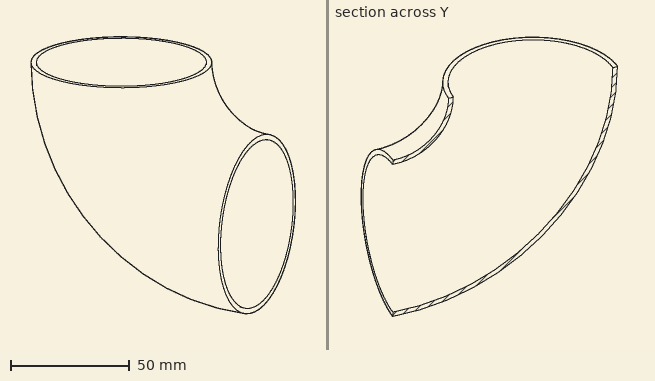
import cadquery as cq

outer_diameter = 76.1
wall_thickness = 2.3
bend_radius = 63.0
bend_angle = 90.0

inner_diameter = outer_diameter - 2 * wall_thickness


def pipe_elbow():
    """Sweep the pipe ring about the Y axis, from the top opening round to the +X opening."""
    ring = (
        cq.Workplane("XY")
        .center(-bend_radius, 0)
        .circle(outer_diameter / 2)
        .circle(inner_diameter / 2)
    )
    axis_start = (bend_radius, 0)
    axis_end = (bend_radius, -1)
    return ring.revolve(bend_angle, axis_start, axis_end)


result = pipe_elbow()